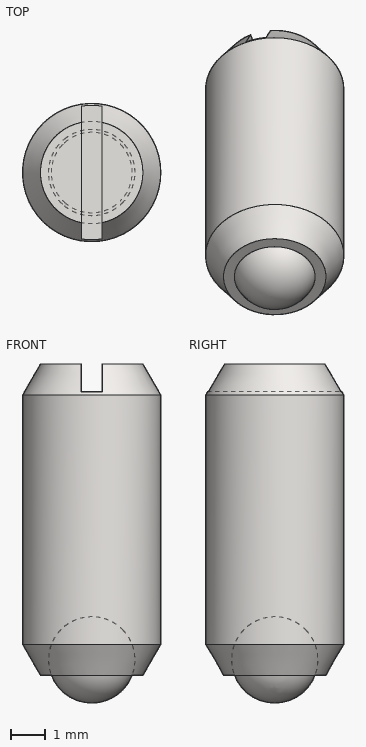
import cadquery as cq
import math

sleeve_diameter = 4.0
sleeve_length = 9.0
chamfer_length = 0.9
chamfer_angle = 30.0
chamfer_inset = chamfer_length * math.tan(math.radians(chamfer_angle))

slot_width = 0.6
slot_depth = 0.8

ball_diameter = 2.5
ball_protrusion = 0.8

sleeve_radius = sleeve_diameter / 2
end_radius = sleeve_radius - chamfer_inset
ball_center_z = ball_diameter / 2 - ball_protrusion


def make_ball():
    """Full ball on the axis, standing out below the bottom face at Z = 0."""
    return cq.Workplane("XY").sphere(ball_diameter / 2).translate((0, 0, ball_center_z))


def make_sleeve():
    """Turned body with the driver slot and a spherical seat for the ball."""
    turned = (
        cq.Workplane("XZ")
        .moveTo(0, 0)
        .lineTo(end_radius, 0)
        .lineTo(sleeve_radius, chamfer_length)
        .lineTo(sleeve_radius, sleeve_length - chamfer_length)
        .lineTo(end_radius, sleeve_length)
        .lineTo(0, sleeve_length)
        .close()
        .revolve(360, (0, 0, 0), (0, 1, 0))
    )
    slot = (
        cq.Workplane("XY")
        .workplane(offset=sleeve_length - slot_depth)
        .rect(slot_width, sleeve_diameter)
        .extrude(slot_depth)
    )
    return turned.cut(slot).cut(make_ball())


sleeve = make_sleeve()
ball = make_ball()

result = cq.Compound.makeCompound([sleeve.solids().val(), ball.val()])